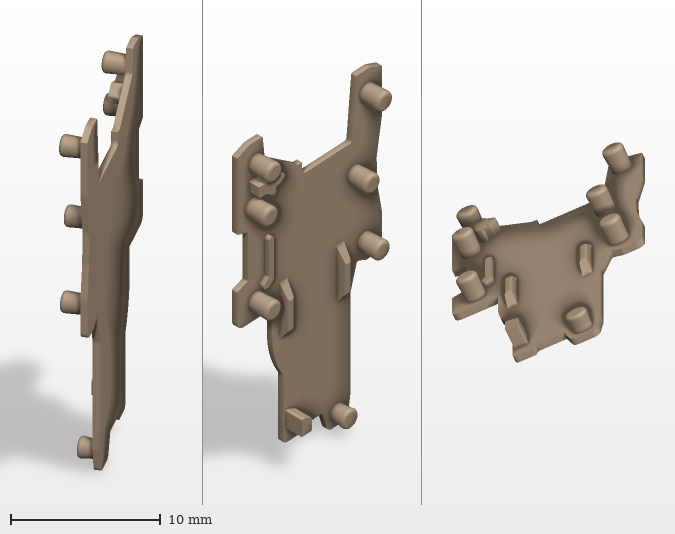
import cadquery as cq
import math


height = 28.6
half_width = 7.0
plate_thickness = 0.5

notch_floor_z = 23.2
notch_step_z = 24.25
notch_step_y = 0.75
recess_y = 5.98
body_bottom_left_z = 13.47
body_bottom_right_z = 12.47
tail_left_y = 2.55
tail_right_y = -3.95
tail_foot_z = 1.35
tail_cut_z = 1.83

pin_length = 1.75
pin_neck_length = 0.35
pin_neck_radius = 0.72
pin_head_radius = 0.77
pin_tip_round = 0.3
pin_centres = [
    (5.2, 26.77),
    (5.55, 23.22),
    (-5.55, 26.7),
    (-4.35, 20.42),
    (5.23, 15.07),
    (-5.32, 14.2),
]
short_pin_length = 1.3
short_pin_neck_length = 0.4
short_pin_neck_radius = 0.7
short_pin_tip_round = 0.23
short_pin_centre = (-2.65, 1.17)

lug_height = 0.95
strip_height = 0.43
strip_width = 0.5
strip_end_round = 0.23
strip_left_y = 4.38
stop_height = 1.55

rib_height = 0.77
rib_base_width = 0.75
rib_crest_width = 0.55
rib_crest_round = 0.2
rib_top_z = 15.3
rib_bottom_z = 10.47
rib_crest_top_z = 14.0
rib_crest_bottom_z = 11.53
rib_lip_height = 0.1
rib_lip_length = 0.2
rib_centres_y = (2.55, -2.97)


def rounded_outline(corners):
    """Closed outline on the YZ plane from (y, z, corner radius) entries; radius 0 is sharp."""
    stretches = []
    for i, (y, z, radius) in enumerate(corners):
        corner = cq.Vector(y, z)
        before = cq.Vector(*corners[i - 1][:2])
        after = cq.Vector(*corners[(i + 1) % len(corners)][:2])
        to_before = (before - corner).normalized()
        to_after = (after - corner).normalized()
        if radius == 0:
            stretches.append([corner])
            continue
        half_angle = to_before.getAngle(to_after) / 2
        tangent_length = radius / math.tan(half_angle)
        arc_gap = radius / math.sin(half_angle) - radius
        bisector = (to_before + to_after).normalized()
        stretches.append([
            corner + to_before * tangent_length,
            corner + bisector * arc_gap,
            corner + to_after * tangent_length,
        ])

    outline = cq.Workplane("YZ").moveTo(*stretches[0][-1].toTuple()[:2])
    for stretch in stretches[1:] + stretches[:1]:
        outline = outline.lineTo(*stretch[0].toTuple()[:2])
        if len(stretch) == 3:
            outline = outline.threePointArc(stretch[1].toTuple()[:2], stretch[2].toTuple()[:2])
    return outline.close()


def plate():
    corners = [
        (half_width, 28.1, 0.11),
        (5.83, height, 0.43),
        (4.55, height, 0.11),
        (4.35, 26.63, 0.3),
        (1.15, notch_step_z, 0),
        (notch_step_y, notch_step_z, 0),
        (notch_step_y, notch_floor_z, 0.4),
        (-4.05, notch_floor_z, 0.23),
        (-4.55, height, 0.11),
        (-5.83, height, 0.43),
        (-half_width, 28.1, 0.11),
        (-half_width, 23.85, 1.43),
        (-6.5, 20.6, 1.43),
        (-6.58, 18.2, 1.43),
        (-half_width, 15.75, 1.43),
        (-half_width, body_bottom_right_z, 0.57),
        (-5.45, body_bottom_right_z, 0.15),
        (-4.6, 12.9, 0.17),
        (tail_right_y, 10.5, 0.15),
        (tail_right_y, 1.92, 0.15),
        (-3.65, 0, 0.5),
        (-1.8, 0, 0.45),
        (-1.23, tail_cut_z, 0),
        (0.83, tail_cut_z, 0),
        (1.0, tail_foot_z, 0),
        (tail_left_y, tail_foot_z, 0.35),
        (tail_left_y, 7.2, 0),
        (3.63, 9.1, 7.72),
        (3.63, body_bottom_left_z, 0),
        (half_width, body_bottom_left_z, 0.6),
        (half_width, 16.75, 0.11),
        (recess_y, 17.13, 0.11),
        (recess_y, 21.28, 0.11),
        (half_width, 21.62, 0.11),
    ]
    return rounded_outline(corners).extrude(plate_thickness)


def pin(centre, length, neck_length, neck_radius, tip_round):
    """Turned pin along -X; its half profile is revolved about the pin axis."""
    turned_pin = (
        cq.Workplane("XY")
        .moveTo(plate_thickness / 2, 0)
        .lineTo(plate_thickness / 2, neck_radius)
        .lineTo(-neck_length, neck_radius)
        .lineTo(tip_round - length, pin_head_radius)
        .radiusArc((-length, pin_head_radius - tip_round), -tip_round)
        .lineTo(-length, 0)
        .close()
        .revolve(360, (0, 0, 0), (1, 0, 0))
    )
    return turned_pin.translate((0, *centre))


def lug():
    corners = [
        (5.9, 25.55, 0),
        (5.4, 25.55, 0.15),
        (5.03, 25.43, 0.43),
        (4.3, 25.83, 0.15),
        (4.1, 25.8, 0.15),
        (3.37, 25.28, 0.11),
        (3.37, 25.08, 0.11),
        (3.9, 24.75, 0.15),
        (4.25, 24.7, 0.2),
        (4.25, 24.08, 0.15),
        (4.52, 24.15, 0.15),
        (5.15, 24.6, 0.23),
        (5.9, 24.6, 0.15),
    ]
    return rounded_outline(corners).extrude(-lug_height)


def bent_strip():
    strip_right_y = strip_left_y - strip_width
    corners = [
        (strip_left_y, 20.05, strip_end_round),
        (strip_right_y, 20.05, strip_end_round),
        (strip_right_y, 16.42, 0.15),
        (4.35, 15.95, 0.11),
        (4.85, 15.95, 0.17),
        (4.85, 16.3, 0.11),
        (strip_left_y, 16.8, 0.11),
    ]
    return rounded_outline(corners).extrude(-strip_height)


def stop_block():
    corners = [
        (2.37, 4.12, 0),
        (2.1, 4.12, 0.15),
        (1.4, 3.85, 0.25),
        (1.4, 2.7, 0.15),
        (2.37, 2.7, 0),
    ]
    return rounded_outline(corners).extrude(-stop_height)


def guide_rib(centre_y):
    """Rib with sloping ends and slightly tapered sides under a rounded crest."""
    side_profile = (
        cq.Workplane("XZ")
        .polyline([
            (0, rib_bottom_z),
            (-rib_height, rib_crest_bottom_z),
            (-rib_height, rib_crest_top_z),
            (-rib_lip_height, rib_top_z - rib_lip_length),
            (0, rib_top_z),
        ])
        .close()
        .extrude(rib_base_width / 2, both=True)
    )
    cross_section = (
        cq.Workplane("XY", origin=(0, 0, rib_bottom_z))
        .polyline([
            (0, -rib_base_width / 2),
            (-rib_height, -rib_crest_width / 2),
            (-rib_height, rib_crest_width / 2),
            (0, rib_base_width / 2),
        ])
        .close()
        .extrude(rib_top_z - rib_bottom_z)
        .faces("<X")
        .edges("|Z")
        .fillet(rib_crest_round)
    )
    return side_profile.intersect(cross_section).translate((0, centre_y, 0))


result = plate().union(lug()).union(bent_strip()).union(stop_block())
for rib_y in rib_centres_y:
    result = result.union(guide_rib(rib_y))
for pin_centre in pin_centres:
    result = result.union(
        pin(pin_centre, pin_length, pin_neck_length, pin_neck_radius, pin_tip_round)
    )
result = result.union(
    pin(
        short_pin_centre,
        short_pin_length,
        short_pin_neck_length,
        short_pin_neck_radius,
        short_pin_tip_round,
    )
)